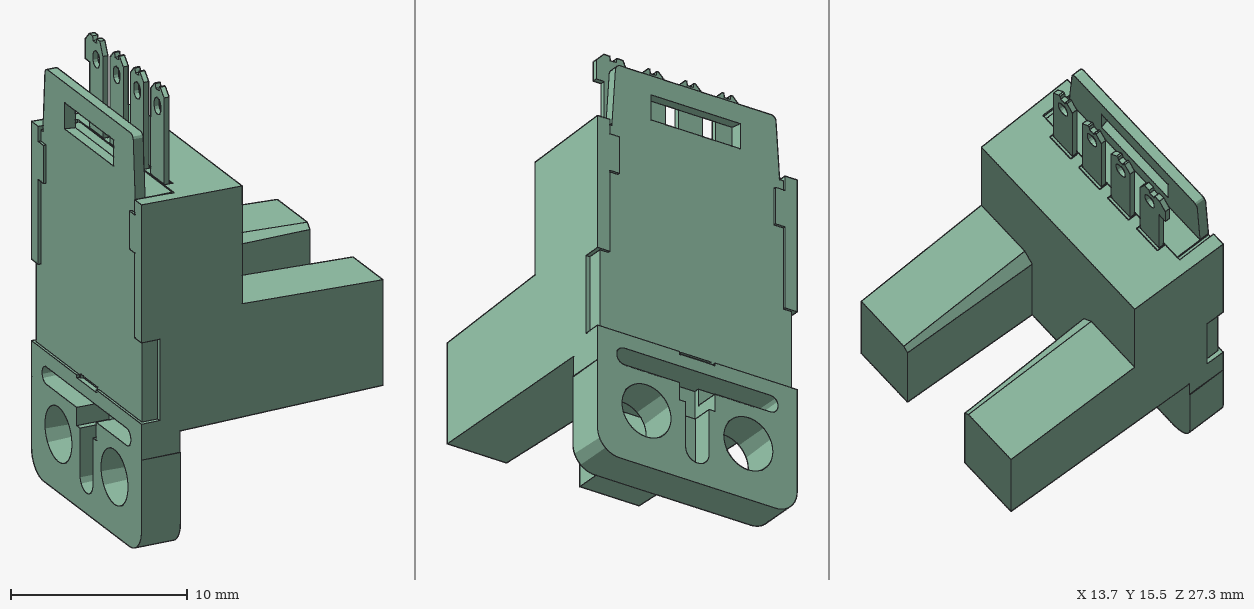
import cadquery as cq
import math


width = 13.7
depth = 15.5
height = 27.3
half_width = width / 2
draft = math.tan(math.radians(1))
arm_top_draft = math.tan(math.radians(2))
housing_top = 21.57
housing_depth = 6.47
arm_tip_bottom = 7.4
arm_tip_top = 13.9
arm_root_top = arm_tip_top + (depth - housing_depth) * arm_top_draft

flange_depth = 2.48
flange_top = 5.87
flange_radius = 1.5
mount_hole_x = 3.5
mount_hole_z = 3.58
mount_hole_diameter = 3.35

gap_tip_half = 2.5
gap_root_half = 2.27
bevel_tip_half = 2.85
bevel_root_half = 2.92
bevel_bottom = 13.57

groove_length = 11.05
groove_bottom = 6.1
groove_top = 7.15
groove_depth = 1.7
gate_width = 2.43
gate_half = gate_width / 2
gate_bottom = 4.97
gate_depth = 2.05
stem_width = 1.6
stem_bottom = 1.28
stem_depth = 1.4

cover_face = 0.16
cover_back = 0.8
cover_bottom = 8.08
cover_shoulder = 21.32
cover_top = 25.33
cover_top_half = 5.5
cover_neck_half = 5.75
cover_corner = 0.35
window_bottom = 22.5
window_top = 24.1
window_face_half = 3.05
window_back_half = 2.92

rail_inner_half = 6.0
rail_bottom = 13.08
tab_inner_half = 5.35
tab_bottom = 18.3
tab_top = 20.65
side_notch_half = 6.58
side_notch_depth = 1.17
pocket_depth = 2.5
pocket_floor = cover_shoulder + 0.15

release_bottom = 7.92
release_top = 8.15
release_half = 1.05
release_depth = 0.33

terminal_count = 4
terminal_pitch = 2.55
terminal_width = 1.67
terminal_y = 2.57
terminal_thickness = 0.33
terminal_embed = 0.27
terminal_root = cover_shoulder - terminal_embed
tip_half = 0.35
tip_chamfer = terminal_width / 2 - tip_half
eye_width = 0.8
eye_height = 1.0
eye_z = 26.02
notch_half = 0.25
notch_floor_half = 0.2
notch_depth = 0.27
recess_side_gap = 0.08
recess_depth = 0.15
recess_y_size = 0.52

wide_left = -5.2
wide_head_bottom = 25.55
wide_tip_left = -4.67
wide_tip_right = -3.35
wide_right_shoulder = 26.5


def box(x0, x1, y0, y1, z0, z1):
    """Axis-aligned block between the given limits."""
    return cq.Workplane("XY").box(x1 - x0, y1 - y0, z1 - z0, centered=False).translate((x0, y0, z0))


def wide_box(half, y0, y1, z0, z1):
    """Block centred on X = 0."""
    return box(-half, half, y0, y1, z0, z1)


def front_plane(y):
    """XZ plane at the given Y; a positive extrusion goes towards -Y."""
    return cq.Workplane("XZ", origin=(0, y, 0))


def make_housing():
    side_profile = [
        (0, flange_top),
        (flange_depth, flange_top),
        (flange_depth, arm_tip_bottom - (depth - flange_depth) * draft),
        (depth, arm_tip_bottom),
        (depth, arm_tip_top),
        (housing_depth, arm_root_top),
        (housing_depth, housing_top - housing_depth * draft),
        (0, housing_top),
    ]
    profile = cq.Workplane("YZ").polyline(side_profile).close().extrude(half_width, both=True)
    tip_half_width = half_width - depth * draft
    plan = [
        (-half_width, 0),
        (half_width, 0),
        (tip_half_width, depth),
        (-tip_half_width, depth),
    ]
    drafted_plan = cq.Workplane("XY").polyline(plan).close().extrude(height)
    return profile.intersect(drafted_plan)


def make_flange():
    flange = wide_box(half_width, 0, flange_depth, 0, flange_top)
    flange = flange.edges("|Y and <Z").fillet(flange_radius)
    holes = (
        front_plane(0)
        .pushPoints([(-mount_hole_x, mount_hole_z), (mount_hole_x, mount_hole_z)])
        .circle(mount_hole_diameter / 2)
        .extrude(-flange_depth)
    )
    return flange.cut(holes)


def make_gap():
    """Tapered slot between the arms, with its upper edges bevelled."""
    plan = [
        (-gap_root_half, housing_depth),
        (gap_root_half, housing_depth),
        (gap_tip_half, depth),
        (-gap_tip_half, depth),
    ]
    slot = cq.Workplane("XY").polyline(plan).close().extrude(height)

    def bevel_section(half_low, half_high, top):
        return [(-half_low, bevel_bottom), (half_low, bevel_bottom), (half_high, top), (-half_high, top)]

    bevel = (
        front_plane(housing_depth)
        .polyline(bevel_section(gap_root_half, bevel_root_half, arm_root_top))
        .close()
        .workplane(offset=housing_depth - depth)
        .polyline(bevel_section(gap_tip_half, bevel_tip_half, arm_tip_top))
        .close()
        .loft(ruled=True)
    )
    return slot.union(bevel)


def make_grooves():
    """T-shaped relief: a long round-ended groove, a rectangular gate and a stem below it."""
    groove_height = groove_top - groove_bottom
    groove = (
        front_plane(0)
        .center(0, (groove_bottom + groove_top) / 2)
        .slot2D(groove_length, groove_height)
        .extrude(-groove_depth)
    )
    gate = wide_box(gate_half, 0, gate_depth, gate_bottom, groove_top)
    stem_radius = stem_width / 2
    stem_end = stem_bottom + stem_radius
    stem = wide_box(stem_radius, 0, stem_depth, stem_end, gate_bottom)
    stem_round = front_plane(0).center(0, stem_end).circle(stem_radius).extrude(-stem_depth)
    return groove.union(gate).union(stem).union(stem_round)


def make_cover_seat():
    """Material removed around the cover: face recess, top pocket, side notches, release notch."""
    seat = wide_box(rail_inner_half, 0, cover_face, cover_bottom, housing_top)
    seat = seat.union(wide_box(half_width, 0, cover_face, cover_bottom, rail_bottom))
    seat = seat.union(wide_box(rail_inner_half, 0, pocket_depth, pocket_floor, housing_top))
    for inner, outer in ((-rail_inner_half, -cover_neck_half), (cover_neck_half, rail_inner_half)):
        seat = seat.union(box(inner, outer, 0, pocket_depth, cover_shoulder, housing_top))
    for inner, outer in ((-half_width, -side_notch_half), (side_notch_half, half_width)):
        seat = seat.union(box(inner, outer, 0, side_notch_depth, cover_bottom, rail_bottom))
    seat = seat.union(wide_box(gate_half, 0, cover_face, release_bottom, cover_bottom))
    return seat.union(wide_box(release_half, 0, release_depth, release_bottom, release_top))


def make_tabs():
    left = box(-rail_inner_half, -tab_inner_half, 0, cover_face, tab_bottom, tab_top)
    return left.union(left.mirror("YZ"))


def make_cover():
    """Upper part of the cover plate, standing above the housing, with its window."""
    outline = [
        (-cover_neck_half, cover_shoulder),
        (cover_neck_half, cover_shoulder),
        (cover_top_half, cover_top),
        (-cover_top_half, cover_top),
    ]
    plate = front_plane(cover_face).polyline(outline).close().extrude(cover_face - cover_back)
    plate = plate.edges("|Y and >Z").fillet(cover_corner)
    window_plan = [
        (-window_face_half, cover_face),
        (window_face_half, cover_face),
        (window_back_half, cover_back),
        (-window_back_half, cover_back),
    ]
    window = (
        cq.Workplane("XY", origin=(0, 0, window_bottom))
        .polyline(window_plan)
        .close()
        .extrude(window_top - window_bottom)
    )
    return plate.cut(window)


def make_terminal(outline, eye_x, notch_x):
    """Flat lug with an oblong eye and a notch in its tip."""
    plane = front_plane(terminal_y)
    lug = plane.polyline(outline).close().extrude(-terminal_thickness)
    eye = plane.center(eye_x, eye_z).slot2D(eye_height, eye_width, 90).extrude(-terminal_thickness)
    notch_outline = [
        (notch_x - notch_half, height),
        (notch_x - notch_floor_half, height - notch_depth),
        (notch_x + notch_floor_half, height - notch_depth),
        (notch_x + notch_half, height),
    ]
    notch = plane.polyline(notch_outline).close().extrude(-terminal_thickness)
    return lug.cut(eye).cut(notch)


def narrow_outline(x):
    left = x - terminal_width / 2
    right = x + terminal_width / 2
    shoulder = height - tip_chamfer
    return [
        (left, terminal_root),
        (left, shoulder),
        (x - tip_half, height),
        (x + tip_half, height),
        (right, shoulder),
        (right, terminal_root),
    ]


def wide_outline(x):
    """Same shank as the narrow terminals, with a head that overhangs on the -X side."""
    left = x - terminal_width / 2
    right = x + terminal_width / 2
    return [
        (left, terminal_root),
        (left, wide_head_bottom),
        (wide_left, wide_head_bottom),
        (wide_left, height - (wide_tip_left - wide_left)),
        (wide_tip_left, height),
        (wide_tip_right, height),
        (right, wide_right_shoulder),
        (right, terminal_root),
    ]


def make_recess(x):
    """Shallow opening in the housing top around one terminal."""
    half = terminal_width / 2 + recess_side_gap
    floor = housing_top - recess_depth
    return box(x - half, x + half, terminal_y, terminal_y + recess_y_size, floor, housing_top)


row_middle = (terminal_count - 1) / 2
terminal_x = [(i - row_middle) * terminal_pitch for i in range(terminal_count)]

result = make_housing().union(make_flange())
result = result.cut(make_gap()).cut(make_grooves()).cut(make_cover_seat())
result = result.union(make_tabs()).union(make_cover())

for x in terminal_x:
    result = result.cut(make_recess(x))

wide_x = terminal_x[0]
wide_notch_x = (wide_tip_left + wide_tip_right) / 2
result = result.union(make_terminal(wide_outline(wide_x), wide_x, wide_notch_x))
for x in terminal_x[1:]:
    result = result.union(make_terminal(narrow_outline(x), x, x))